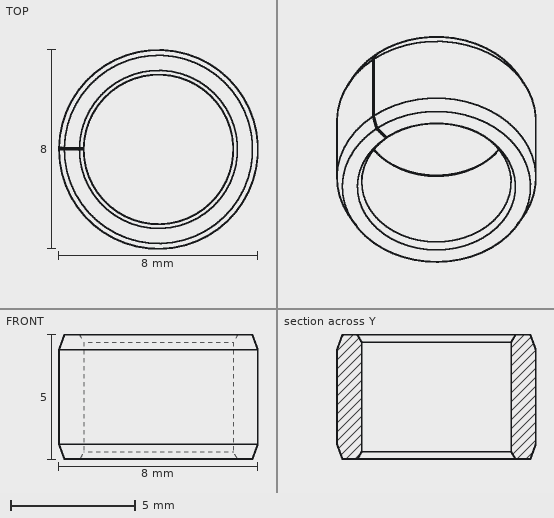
import cadquery as cq
import math

outer_diameter = 8.0
bore_diameter = 6.0
height = 5.0

outer_taper_height = 0.6
outer_taper_angle = 20.0
bore_taper_height = 0.3
bore_taper_angle = 30.0

slit_angle = 1.0


def taper_depth(taper_height, angle):
    """Radial depth of a taper leaning by the given angle from the axis."""
    return taper_height * math.tan(math.radians(angle))


outer_radius = outer_diameter / 2
bore_radius = bore_diameter / 2
outer_end_radius = outer_radius - taper_depth(outer_taper_height, outer_taper_angle)
bore_end_radius = bore_radius + taper_depth(bore_taper_height, bore_taper_angle)

wall_section = [
    (bore_end_radius, 0),
    (outer_end_radius, 0),
    (outer_radius, outer_taper_height),
    (outer_radius, height - outer_taper_height),
    (outer_end_radius, height),
    (bore_end_radius, height),
    (bore_radius, height - bore_taper_height),
    (bore_radius, bore_taper_height),
]

result = (
    cq.Workplane("XZ")
    .polyline(wall_section)
    .close()
    .revolve(360 - slit_angle, (0, 0), (0, 1))
    .rotate((0, 0, 0), (0, 0, 1), 180)
)